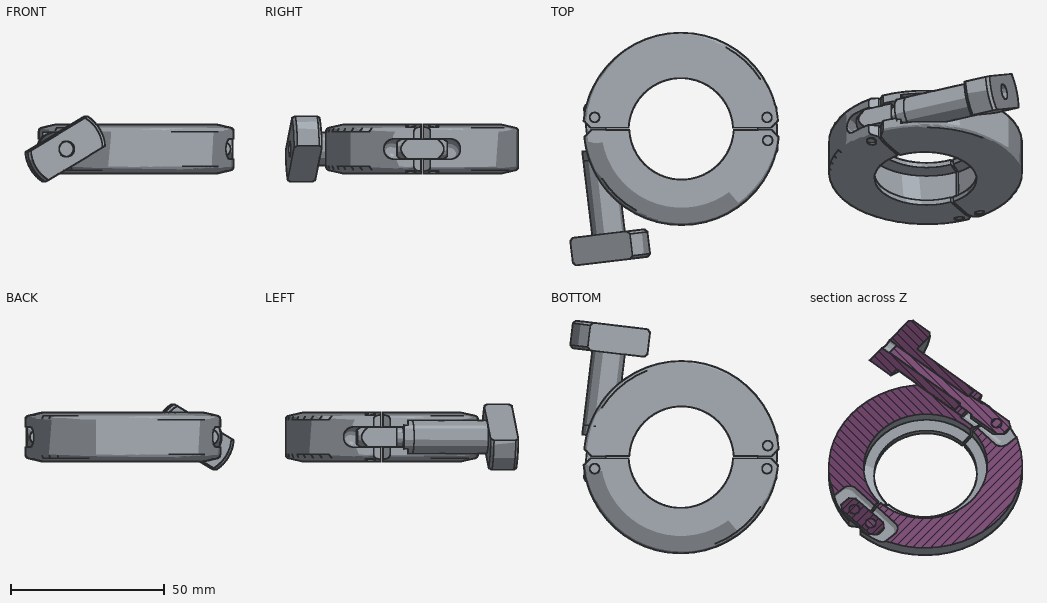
import cadquery as cq
import math


outer_radius = 31.8
flat_radius = 26.1
bore_radius = 16.95
groove_radius = 20.3
half_height = 8.0
rim_angle = 13.0
rim_fillet = 1.35
lip_height = 1.8
groove_angle = 20.0
face_setback = 0.8
face_chamfer = 2.5
clamp_gap = 0.7
lower_shift = 0.2

pin_diameter = 3.2
pin_length = 14.0
pin_reach = 28.0
pin_setback = 3.4
slot_width = 6.6
slot_depth = 12.1
slot_floor_depth = 2.9
bar_size = 6.35
bar_overhang = 4.4
bar_end_radius = 2.4
bar_cone_length = 3.2
bar_cone_radius = 4.5

bolt_angle = 6.8
bar_stop = 8.3
washer_start = 10.5
recess_depth = 1.4
washer_thickness = 3.2
barrel_diameter = 10.75
neck_diameter = 6.35
stud_diameter = 5.0
stud_recess = 3.0
head_start = 38.0
head_thickness = 9.1
head_radius = 12.7
head_width = 11.2
head_chamfer = 1.0
head_turn = 31.0

upper_face_y = face_setback
lower_face_y = upper_face_y - clamp_gap
lower_centre_y = lower_face_y + face_setback
pin_offset = face_setback + pin_setback
eye_pin = (-pin_reach, pin_offset)
upper_link_pin = (pin_reach, pin_offset)
lower_link_pin = (lower_shift + pin_reach, lower_centre_y - pin_offset)
washer_end = washer_start + washer_thickness
head_end = head_start + head_thickness
stud_end = head_end - stud_recess
clear = 2 * outer_radius


def axis_plane(start, angle, distance=0.0):
    """Plane across a bar axis: local y is +Z, and the normal points toward -Y when angle is 0."""
    turn = math.radians(angle)
    along = (math.sin(turn), -math.cos(turn), 0)
    origin = (start[0] + distance * along[0], start[1] + distance * along[1], 0)
    return cq.Plane(origin=origin, xDir=(math.cos(turn), math.sin(turn), 0), normal=along)


def bolt_plane(distance):
    """Plane across the bolt axis: local x points in toward the ring."""
    return cq.Workplane(axis_plane(eye_pin, bolt_angle, distance))


def ring_section():
    """Half section of the ring: conical rims with rounded edges, V groove inside."""
    rim = math.radians(rim_angle)
    corner_x = outer_radius - rim_fillet
    cone_end_x = corner_x + rim_fillet * math.sin(rim)
    cone_end_z = half_height - (cone_end_x - flat_radius) * math.tan(rim)
    corner_z = cone_end_z - rim_fillet * math.cos(rim)
    bend = (math.pi / 2 - rim) / 2
    bend_x = corner_x + rim_fillet * math.cos(bend)
    bend_z = corner_z + rim_fillet * math.sin(bend)
    lip_z = half_height - lip_height
    groove_z = lip_z - (groove_radius - bore_radius) * math.tan(math.radians(groove_angle))
    return (
        cq.Workplane("XZ")
        .moveTo(bore_radius, half_height)
        .lineTo(flat_radius, half_height)
        .lineTo(cone_end_x, cone_end_z)
        .threePointArc((bend_x, bend_z), (outer_radius, corner_z))
        .lineTo(outer_radius, -corner_z)
        .threePointArc((bend_x, -bend_z), (cone_end_x, -cone_end_z))
        .lineTo(flat_radius, -half_height)
        .lineTo(bore_radius, -half_height)
        .lineTo(bore_radius, -lip_z)
        .lineTo(groove_radius, -groove_z)
        .lineTo(groove_radius, groove_z)
        .lineTo(bore_radius, lip_z)
        .close()
    )


def half_outline():
    """Plan area kept by the half on the +Y side, with its two chamfered corners."""
    chamfer_x = outer_radius - face_chamfer
    return (
        cq.Workplane("XY", origin=(0, 0, -half_height))
        .moveTo(-chamfer_x, face_setback)
        .lineTo(chamfer_x, face_setback)
        .lineTo(chamfer_x + clear, face_setback + clear)
        .lineTo(-chamfer_x - clear, face_setback + clear)
        .close()
        .extrude(2 * half_height)
    )


def hinge_slot():
    """Ball-ended slot in the right end of the +Y half, open at the mating face and outward."""
    radius = slot_width / 2
    floor_x = pin_reach - slot_floor_depth
    ball_y = face_setback + slot_depth - radius
    sides = (
        cq.Workplane("YZ", origin=(floor_x, 0, 0))
        .rect(2 * ball_y, slot_width)
        .extrude(clear)
    )
    end = cq.Workplane("YZ", origin=(floor_x, ball_y, 0)).circle(radius).extrude(clear)
    floor = cq.Workplane("XZ", origin=(floor_x, ball_y, 0)).circle(radius).extrude(2 * ball_y)
    ball = cq.Workplane("YZ", origin=(floor_x, ball_y, 0)).sphere(radius)
    return sides.union(end).union(floor).union(ball)


def pin_rod(place, length):
    """Upright rod at a pin place: a pin itself, or the cutter for its hole."""
    return (
        cq.Workplane("XY", origin=(place[0], place[1], -length / 2))
        .circle(pin_diameter / 2)
        .extrude(length)
    )


def hinge_half():
    """Half ring on the +Y side with the link slot and the link pin hole at its right end."""
    ring = ring_section().revolve(360, (0, 0), (0, 1))
    half = ring.intersect(half_outline()).cut(hinge_slot())
    return half.cut(pin_rod((pin_reach, pin_offset), 2 * half_height))


def open_channel(start, stop, width, floor_depth=0.0):
    """Round-floored channel along the bolt axis, open on the outer side."""
    length = stop - start
    floor = bolt_plane(start).center(floor_depth, 0).circle(width / 2).extrude(length)
    mouth = bolt_plane(start).center(floor_depth - clear / 2, 0).rect(clear, width).extrude(length)
    return floor.union(mouth)


def upper_half():
    """The upper half also has the eye slot and the eye pin hole at its left end."""
    slot = hinge_slot().mirror("YZ")
    return hinge_half().cut(slot).cut(pin_rod(eye_pin, 2 * half_height))


def lower_half():
    """The lower half carries the bolt slot, the washer recess and the trough for the nut."""
    half = hinge_half().mirror("XZ").translate((lower_shift, lower_centre_y, 0))
    bolt_slot = open_channel(0, washer_start, slot_width, slot_floor_depth)
    recess = bolt_plane(washer_start).circle(barrel_diameter / 2).extrude(recess_depth)
    trough = open_channel(washer_start + recess_depth, head_end, barrel_diameter)
    return half.cut(bolt_slot).cut(recess).cut(trough)


def bar_end_cone(plane, length):
    """Round body along the plane normal that trims the near end of a square bar to a cone."""
    cone = (
        cq.Workplane(plane)
        .circle(bar_end_radius)
        .workplane(offset=bar_cone_length)
        .circle(bar_cone_radius)
        .loft()
    )
    shank = (
        cq.Workplane(plane)
        .workplane(offset=bar_cone_length)
        .circle(bar_cone_radius)
        .extrude(length - bar_cone_length)
    )
    return cone.union(shank)


def eye_bolt():
    """Square eye with a conical end, then a round neck and a thinner stud."""
    eye_length = bar_overhang + bar_stop
    eye_plane = axis_plane(eye_pin, bolt_angle, -bar_overhang)
    eye = cq.Workplane(eye_plane).rect(bar_size, bar_size).extrude(eye_length)
    eye = eye.intersect(bar_end_cone(eye_plane, eye_length))
    eye = eye.cut(pin_rod(eye_pin, 2 * half_height))
    neck = bolt_plane(bar_stop).circle(neck_diameter / 2).extrude(washer_end - bar_stop)
    stud = bolt_plane(washer_end).circle(stud_diameter / 2).extrude(stud_end - washer_end)
    return eye.union(neck).union(stud)


def washer():
    """Flat ring around the bolt neck, seated in the recess of the lower half."""
    return (
        bolt_plane(washer_start)
        .circle(barrel_diameter / 2)
        .circle(neck_diameter / 2)
        .extrude(washer_thickness)
    )


def nut():
    """Round barrel with a T head: a chamfered disc cut by two parallel flats."""
    barrel = bolt_plane(washer_end).circle(barrel_diameter / 2).extrude(head_start - washer_end)
    disc = bolt_plane(head_start).circle(head_radius).extrude(head_thickness)
    disc = disc.edges().chamfer(head_chamfer)
    flats = (
        bolt_plane(head_start)
        .transformed(rotate=(0, 0, head_turn))
        .rect(2 * head_radius, head_width)
        .extrude(head_thickness)
    )
    bore = bolt_plane(washer_end).circle(stud_diameter / 2).extrude(head_end - washer_end)
    return barrel.union(disc.intersect(flats)).cut(bore)


def link():
    """Square bar with conical ends, joining the two right-hand pins."""
    run_x = lower_link_pin[0] - upper_link_pin[0]
    run_y = upper_link_pin[1] - lower_link_pin[1]
    tilt = math.degrees(math.atan2(run_x, run_y))
    length = math.hypot(run_x, run_y) + 2 * bar_overhang
    top_plane = axis_plane(upper_link_pin, tilt, -bar_overhang)
    bottom_plane = axis_plane(lower_link_pin, tilt + 180, -bar_overhang)
    bar = cq.Workplane(top_plane).rect(bar_size, bar_size).extrude(length)
    for plane in (top_plane, bottom_plane):
        bar = bar.intersect(bar_end_cone(plane, length))
    for place in (upper_link_pin, lower_link_pin):
        bar = bar.cut(pin_rod(place, 2 * half_height))
    return bar


pins = [pin_rod(place, pin_length) for place in (eye_pin, upper_link_pin, lower_link_pin)]

bodies = [upper_half(), lower_half(), link(), eye_bolt(), washer(), nut(), *pins]
result = cq.Compound.makeCompound([body.val() for body in bodies])